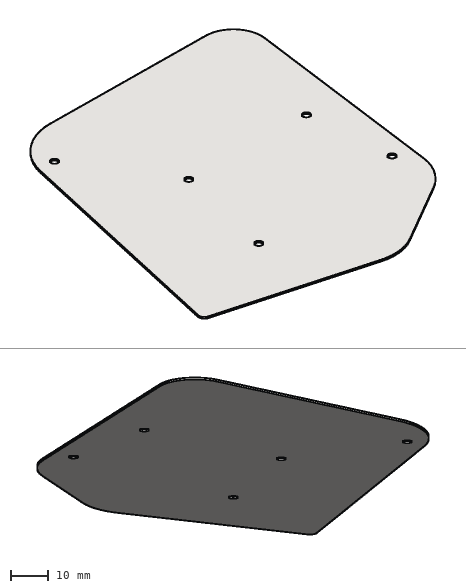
import cadquery as cq
import math

length = 117.0
width = 90.2
thickness = 0.6

left_edge_lean = math.radians(15)
top_edge_rise = math.radians(5)
bevel_angle = math.radians(45)
bevel_end_y = 62.3

front_left_radius = 19.0
front_right_radius = 2.0
bevel_radius = 16.4
top_left_radius = 10.2

hole_diameter = 2.5
hole_centers = [
    (31.8, 5.6),
    (57.6, 31.6),
    (93.6, 31.6),
    (46.8, 74.3),
    (75.5, 83.6),
]

bevel_slope = math.tan(bevel_angle)
top_slope = math.tan(top_edge_rise)
top_right_center_y = width - bevel_radius
bevel_center_line_y = bevel_end_y - bevel_radius / math.cos(bevel_angle)
top_right_center_x = length - (top_right_center_y - bevel_center_line_y) / bevel_slope
top_edge_start_y = (
    top_right_center_y + bevel_radius / math.cos(top_edge_rise) - top_slope * top_right_center_x
)

left_slope = math.tan(left_edge_lean)
top_left_center_y = (
    top_edge_start_y + top_slope * top_left_radius - top_left_radius / math.cos(top_edge_rise)
)
front_left_x = (
    top_left_radius - top_left_radius / math.cos(left_edge_lean) + left_slope * top_left_center_y
)

top_left_x = (front_left_x - left_slope * top_edge_start_y) / (1 + left_slope * top_slope)
top_left_y = top_edge_start_y + top_slope * top_left_x

top_right_x = (bevel_end_y + bevel_slope * length - top_edge_start_y) / (bevel_slope + top_slope)
top_right_y = top_edge_start_y + top_slope * top_right_x

corners = [
    ((front_left_x, 0), front_left_radius),
    ((length, 0), front_right_radius),
    ((length, bevel_end_y), bevel_radius),
    ((top_right_x, top_right_y), bevel_radius),
    ((top_left_x, top_left_y), top_left_radius),
]


def make_plate():
    """Flat plate with every outline corner rounded to its own radius."""
    plate = cq.Workplane("XY").polyline([point for point, _ in corners]).close().extrude(thickness)
    for point, radius in corners:
        corner_edge = cq.selectors.NearestToPointSelector((*point, thickness / 2))
        plate = plate.edges("|Z").edges(corner_edge).fillet(radius)
    return plate


def make_holes():
    """Round cutters through the full thickness of the plate."""
    return cq.Workplane("XY").pushPoints(hole_centers).circle(hole_diameter / 2).extrude(thickness)


result = make_plate().cut(make_holes())